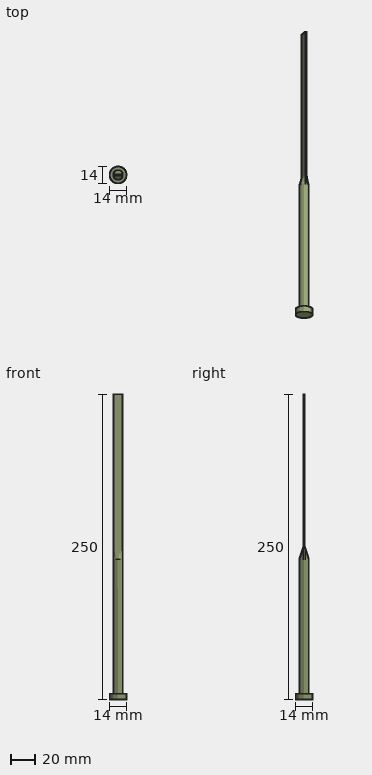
import cadquery as cq
import math

overall_length = 250.0
head_diameter = 14.0
head_height = 5.0
shaft_diameter = 8.0
blade_width = 7.5
blade_thickness = 1.5
blade_length = 125.0
transition_length = 10.0
blade_start = overall_length - blade_length
shaft_top = blade_start - transition_length


def make_head():
    return cq.Workplane("XY").circle(head_diameter / 2).extrude(head_height)


def make_shaft():
    return cq.Workplane("XY").circle(shaft_diameter / 2).extrude(shaft_top)


def make_transition():
    """Blend from the round shaft to the rectangular blade.

    The lower outline is the shaft circle split into four arcs, one for each
    side of the blade. The arcs meet on the blade's diagonals.
    """
    half_width = blade_width / 2
    half_thickness = blade_thickness / 2
    radius = shaft_diameter / 2
    corner_angle = math.atan2(half_thickness, half_width)
    arc_end_x = radius * math.cos(corner_angle)
    arc_end_y = radius * math.sin(corner_angle)
    lower = (
        cq.Workplane("XY")
        .workplane(offset=shaft_top)
        .moveTo(-arc_end_x, -arc_end_y)
        .threePointArc((0, -radius), (arc_end_x, -arc_end_y))
        .threePointArc((radius, 0), (arc_end_x, arc_end_y))
        .threePointArc((0, radius), (-arc_end_x, arc_end_y))
        .threePointArc((-radius, 0), (-arc_end_x, -arc_end_y))
        .close()
    )
    return (
        lower.workplane(offset=transition_length)
        .moveTo(-half_width, -half_thickness)
        .lineTo(half_width, -half_thickness)
        .lineTo(half_width, half_thickness)
        .lineTo(-half_width, half_thickness)
        .close()
        .loft(ruled=True, combine=True)
    )


def make_blade():
    return (
        cq.Workplane("XY")
        .workplane(offset=blade_start)
        .rect(blade_width, blade_thickness)
        .extrude(blade_length)
    )


result = make_head().union(make_shaft()).union(make_transition()).union(make_blade())